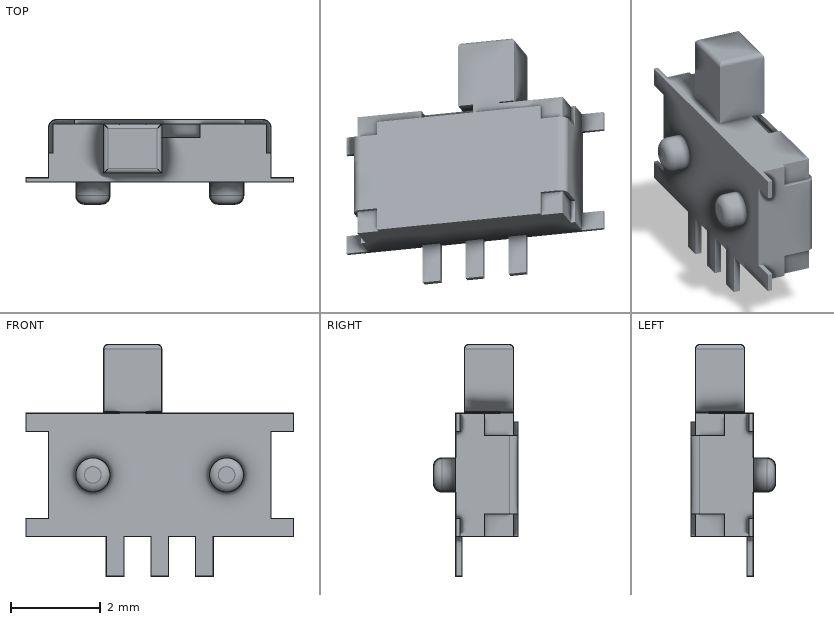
import cadquery as cq

housing_width = 5.0
housing_depth = 1.3
housing_height = 2.77

ear_span = 6.0
ear_height = 0.415
ear_thickness = 0.1

cover_thickness = 0.1
cover_bottom = 0.51
cover_top = 2.27
cover_corner_radius = 0.2
tongue_width = 3.815
tongue_top = housing_height - 0.2
step_depth = 0.655

terminal_width = 0.4
terminal_thickness = 0.15
terminal_length = 0.89
terminal_pitch = 1.0

peg_diameter = 0.77
peg_length = 0.5
peg_round = 0.2
peg_spacing = 3.0

slot_width = 1.81
slot_depth = 0.3
slot_floor = housing_height - 0.3
neck_width = 0.6
neck_left = -slot_width / 2
knob_width = 1.3
knob_depth = 1.105
knob_height = 1.51
knob_gap = 0.03
knob_round = 0.1


def block(x_min, x_size, y_min, y_size, z_min, z_size):
    """Box given by its lowest corner and its sizes."""
    return cq.Workplane("XY").box(x_size, y_size, z_size, centered=False).translate((x_min, y_min, z_min))


def centred_block(x_size, y_min, y_size, z_min, z_size):
    """Box centred on X = 0."""
    return block(-x_size / 2, x_size, y_min, y_size, z_min, z_size)


def make_core():
    """Box that is narrower towards the rear, leaving room for the cover's sides."""
    front_depth = housing_depth - step_depth
    front = centred_block(housing_width, 0, front_depth, 0, housing_height)
    rear_width = housing_width - 2 * cover_thickness
    rear = centred_block(rear_width, front_depth, step_depth, 0, housing_height)
    return front.union(rear)


def make_cover():
    """Rear cover band with rounded corners and a tongue above and below it."""
    total_depth = step_depth + cover_thickness
    band = centred_block(
        housing_width, housing_depth - step_depth, total_depth, cover_bottom, cover_top - cover_bottom
    )
    band = band.edges("|Z and >Y").fillet(cover_corner_radius)
    tongue = centred_block(tongue_width, housing_depth, cover_thickness, 0, tongue_top)
    return band.union(tongue)


def make_ears():
    """Thin strips across the front whose ends stand out as ears."""
    lower = centred_block(ear_span, 0, ear_thickness, 0, ear_height)
    upper = lower.translate((0, 0, housing_height - ear_height))
    return lower.union(upper)


def make_peg(x):
    """Round-nosed peg pointing forward from the front face."""
    peg = cq.Workplane("XZ").center(x, housing_height / 2).circle(peg_diameter / 2).extrude(peg_length)
    return peg.faces("<Y").edges().fillet(peg_round)


def make_terminal(x):
    """Flat leg below the housing, flush with the front face."""
    return block(
        x - terminal_width / 2, terminal_width, 0, terminal_thickness, -terminal_length, terminal_length
    )


def make_housing():
    housing = make_core().union(make_cover()).union(make_ears())
    for side in (-1, 1):
        housing = housing.union(make_peg(side * peg_spacing / 2))
    for position in (-1, 0, 1):
        housing = housing.union(make_terminal(position * terminal_pitch))
    slot = centred_block(
        slot_width, housing_depth - slot_depth, slot_depth, slot_floor, housing_height - slot_floor
    )
    return housing.cut(slot)


def make_slider():
    """Knob above the housing on a neck at the left end of the slot."""
    knob_bottom = housing_height + knob_gap
    knob_left = neck_left + (neck_width - knob_width) / 2
    knob = block(knob_left, knob_width, housing_depth - knob_depth, knob_depth, knob_bottom, knob_height)
    knob = knob.faces(">Z").edges().fillet(knob_round)
    neck = block(
        neck_left, neck_width, housing_depth - slot_depth, slot_depth, slot_floor, knob_bottom - slot_floor
    )
    return knob.union(neck)


housing = make_housing()
slider = make_slider()
result = cq.Compound.makeCompound([housing.val(), slider.val()])